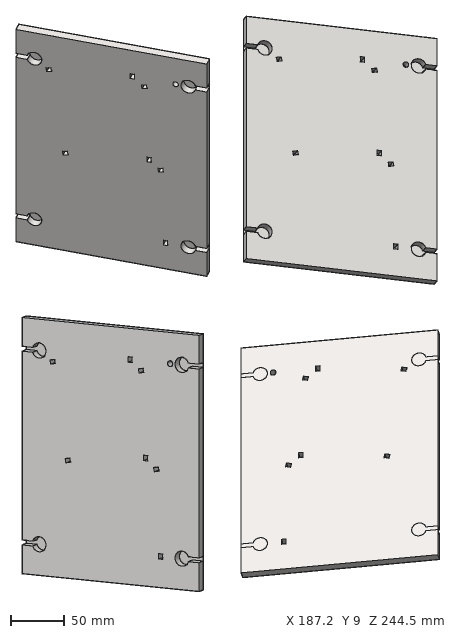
import cadquery as cq
import math

WIDTH = 187.2
THICKNESS = 9.0
HEIGHT = 244.5

POCKET_DIAMETER = 14.5
POCKET_X = 75.5
POCKET_Z = 92.5
CHANNEL_WIDTH = 4.6
DRAFT = 2.0
FLOOR = 0.7
EDGE_OVERRUN = 2.5
POCKET_DEPTH = THICKNESS - FLOOR

ROUND_HOLE_DIAMETER = 5.4
ROUND_HOLE_CENTER = (63.0, POCKET_Z)
WINDOW_WIDTH = 4.2
WINDOW_HEIGHT = 5.1
WINDOW_CENTERS = [(20.5, POCKET_Z), (37.0, 0.0), (53.0, -POCKET_Z)]
TILTED_WIDTH = 5.0
TILTED_HEIGHT = 4.0
TILT = 12.0
TILTED_CENTERS = [(-61.3, 82.9), (32.3, 82.9), (-45.2, -9.8), (48.5, -9.8)]


def sketch_on(face_y, x, z):
    """Workplane parallel to the plate at face_y; extruding from it goes toward the front (-Y)."""
    return cq.Workplane("XZ", origin=(x, face_y, z))


def through_sketch(x, z):
    return sketch_on(THICKNESS / 2, x, z)


def keyhole_pocket(side, level):
    """Round pocket with a channel to the nearest side edge; the drafted walls widen toward the front."""
    floor_y = THICKNESS / 2 - FLOOR
    center_x = side * POCKET_X
    center_z = level * POCKET_Z
    narrowing = 2 * POCKET_DEPTH * math.tan(math.radians(DRAFT))
    channel_length = WIDTH / 2 - POCKET_X + EDGE_OVERRUN
    bore = (
        sketch_on(floor_y, center_x, center_z)
        .circle((POCKET_DIAMETER - narrowing) / 2)
        .extrude(POCKET_DEPTH, taper=-DRAFT)
    )
    channel = (
        sketch_on(floor_y, center_x + side * channel_length / 2, center_z)
        .rect(channel_length, CHANNEL_WIDTH - narrowing)
        .extrude(POCKET_DEPTH, taper=-DRAFT)
    )
    return bore.union(channel)


result = cq.Workplane("XY").box(WIDTH, THICKNESS, HEIGHT)

for side in (-1, 1):
    for level in (-1, 1):
        result = result.cut(keyhole_pocket(side, level))

result = result.cut(through_sketch(*ROUND_HOLE_CENTER).circle(ROUND_HOLE_DIAMETER / 2).extrude(THICKNESS))

for x, z in WINDOW_CENTERS:
    result = result.cut(through_sketch(x, z).rect(WINDOW_WIDTH, WINDOW_HEIGHT).extrude(THICKNESS))

for x, z in TILTED_CENTERS:
    window = through_sketch(x, z).transformed(rotate=(0, 0, TILT)).rect(TILTED_WIDTH, TILTED_HEIGHT)
    result = result.cut(window.extrude(THICKNESS))